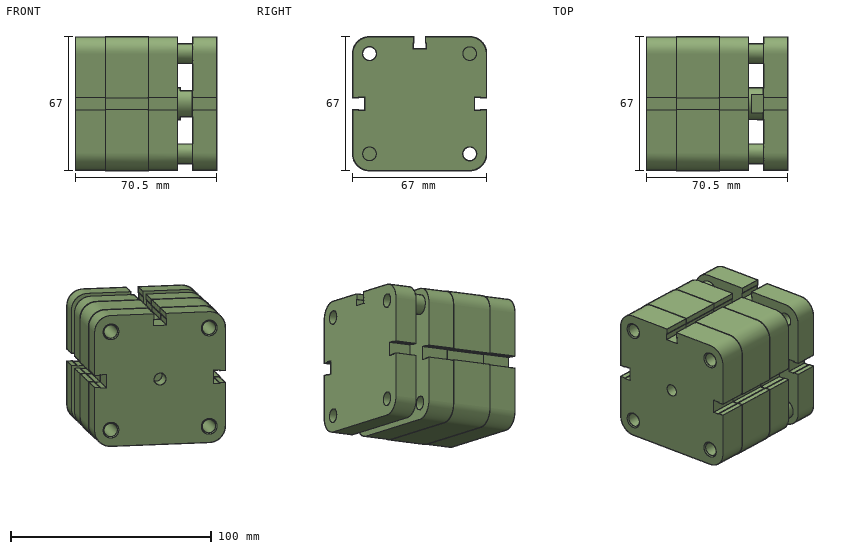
import cadquery as cq


total_length = 70.5
rear_cap_length = 14.9
barrel_length = 21.5
front_cap_length = 14.6
plate_thickness = 12.0
barrel_start = rear_cap_length
front_cap_start = barrel_start + barrel_length
housing_length = front_cap_start + front_cap_length
plate_start = total_length - plate_thickness
gap = plate_start - housing_length

barrel_width = 67.0
barrel_step = 0.2
cap_width = barrel_width - 2 * barrel_step
bolt_pitch = 50.0
bolt_offset = bolt_pitch / 2

slot_mouth_width = 6.1
slot_inner_width = 6.7
slot_mouth_depth = 2.9
slot_floor_depth = 6.0
slot_floor = cap_width / 2 - slot_floor_depth
slot_step = cap_width / 2 - slot_mouth_depth
slot_angles = (0, 90, -90)

bolt_bore = 6.8
bolt_mouth_bore = 8.0
bolt_chamfer = (bolt_mouth_bore - bolt_bore) / 2
bolt_positions = [(y, z) for y in (-bolt_offset, bolt_offset) for z in (-bolt_offset, bolt_offset)]
center_bore = 6.0
center_bore_depth = 10.0

rod_diameter = 16.0
rod_across_flats = 13.0
rod_collar = 1.4
rod_tip_chamfer = 0.4
pin_diameter = 10.0
pin_positions = [(bolt_offset, bolt_offset), (-bolt_offset, -bolt_offset)]


def plane_at(x):
    """Workplane normal to +X, with local axes along Y and Z."""
    return cq.Workplane("YZ", origin=(x, 0, 0))


def slot_cutter(x, length, inset):
    """Stepped slot in the top face; inset draws its side walls and floor into the slot."""
    mouth_width = slot_mouth_width - 2 * inset
    inner_width = slot_inner_width - 2 * inset
    floor = slot_floor + inset
    mouth_height = barrel_width / 2 - floor
    inner_height = slot_step - floor
    mouth = plane_at(x).center(0, floor + mouth_height / 2).rect(mouth_width, mouth_height)
    inner = plane_at(x).center(0, floor + inner_height / 2).rect(inner_width, inner_height)
    return mouth.extrude(length).union(inner.extrude(length))


def slotted_block(x, length, width, slot_inset=0):
    """Rounded square block with corners concentric to the bolt holes and three slots."""
    corner_radius = width / 2 - bolt_offset
    block = plane_at(x).rect(width, width).extrude(length).edges("|X").fillet(corner_radius)
    for angle in slot_angles:
        cutter = slot_cutter(x, length, slot_inset)
        block = block.cut(cutter.rotate((0, 0, 0), (1, 0, 0), angle))
    return block


def bolt_holes(x, length):
    return plane_at(x).pushPoints(bolt_positions).circle(bolt_bore / 2).extrude(length)


def make_housing():
    """Rear cap, proud barrel and front cap in one piece."""
    rear_cap = slotted_block(0, rear_cap_length, cap_width)
    barrel = slotted_block(barrel_start, barrel_length, barrel_width, barrel_step)
    front_cap = slotted_block(front_cap_start, front_cap_length, cap_width)
    body = rear_cap.union(barrel).union(front_cap)

    body = body.cut(bolt_holes(0, housing_length))
    for y, z in bolt_positions:
        countersink = cq.Solid.makeCone(
            bolt_mouth_bore / 2, bolt_bore / 2, bolt_chamfer, cq.Vector(0, y, z), cq.Vector(1, 0, 0)
        )
        body = body.cut(cq.Workplane(countersink))

    return body.cut(plane_at(0).circle(center_bore / 2).extrude(center_bore_depth))


def make_plate():
    plate = slotted_block(plate_start, plate_thickness, cap_width)
    return plate.cut(bolt_holes(plate_start, plate_thickness))


def make_piston_rod():
    """Rod with a round collar at the housing and two wrench flats facing up and down."""
    rod = plane_at(housing_length).circle(rod_diameter / 2).extrude(gap)
    rod = rod.faces(">X").chamfer(rod_tip_chamfer)
    collar = plane_at(housing_length).circle(rod_diameter / 2).extrude(rod_collar)
    flats = plane_at(housing_length).rect(rod_diameter, rod_across_flats).extrude(gap)
    return rod.intersect(collar.union(flats))


def make_guide_pin(y, z):
    return plane_at(housing_length).center(y, z).circle(pin_diameter / 2).extrude(gap)


housing = make_housing()
plate = make_plate()
piston_rod = make_piston_rod()
guide_pins = [make_guide_pin(y, z) for y, z in pin_positions]

result = cq.Compound.makeCompound(
    [housing.val(), plate.val(), piston_rod.val(), *[pin.val() for pin in guide_pins]]
)